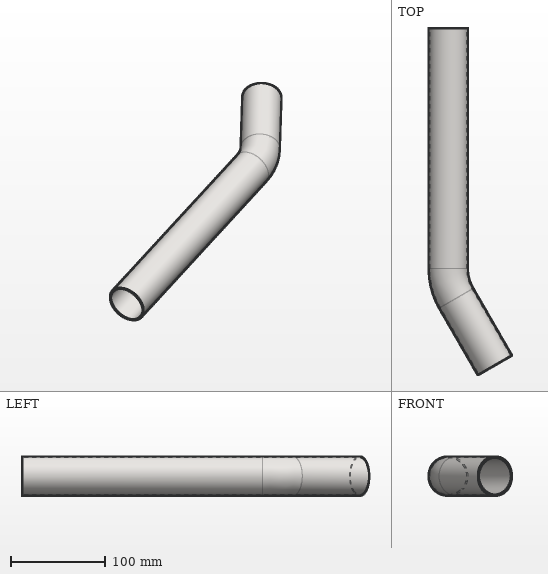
import cadquery as cq
import math

outer_diameter = 42.0
inner_diameter = 39.0
overall_length = 368.2
bend_angle = 30.0
bend_radius = 63.0
short_leg = 82.0

angle = math.radians(bend_angle)
bend_depth = bend_radius * math.sin(angle)
short_leg_depth = short_leg * math.cos(angle)
end_rim_depth = outer_diameter / 2 * math.sin(angle)
long_leg = overall_length - bend_depth - short_leg_depth - end_rim_depth


def bend_point(turn):
    """Point on the centreline arc after turning by the given angle in radians."""
    x = bend_radius * (1 - math.cos(turn))
    y = -long_leg - bend_radius * math.sin(turn)
    return (x, y)


bend_end = bend_point(angle)
short_leg_end = (
    bend_end[0] + short_leg * math.sin(angle),
    bend_end[1] - short_leg_depth,
)
centreline = (
    cq.Workplane("XY")
    .lineTo(0, -long_leg)
    .threePointArc(bend_point(angle / 2), bend_end)
    .lineTo(*short_leg_end)
)

result = (
    cq.Workplane("XZ")
    .circle(outer_diameter / 2)
    .circle(inner_diameter / 2)
    .sweep(centreline)
)